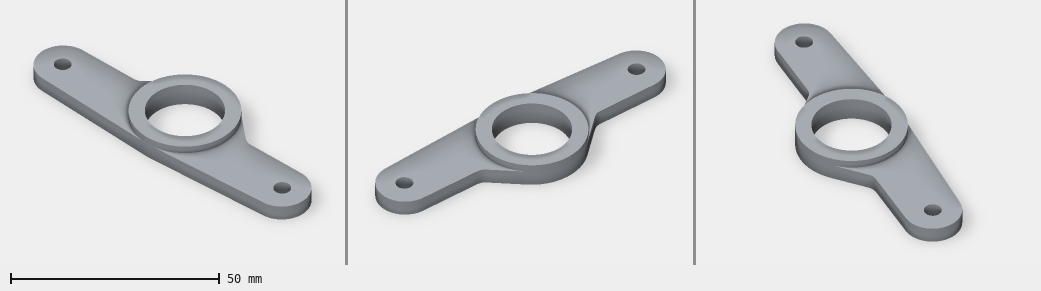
import cadquery as cq
import math

length = 83.9
total_height = 6.0
plate_thickness = 4.0

ring_radius = 13.5
bore_diameter = 19.2

lug_radius = 7.1
lug_x = length / 2 - lug_radius
lug_y = -4.5
lug_hole_diameter = 4.3
lug_hole_x = 35.0

shoulder_angle = 48.0
shoulder_fillet = 3.35


def on_circle(center_x, center_y, radius, angle):
    """Point on a circle at an angle in radians."""
    return (center_x + radius * math.cos(angle), center_y + radius * math.sin(angle))


def mirrored(point):
    return (-point[0], point[1])


def make_plate():
    center_distance = math.hypot(lug_x, lug_y)
    tangent_angle = (
        math.atan2(lug_y, lug_x) - math.acos((ring_radius - lug_radius) / center_distance)
    )
    ring_bottom = on_circle(0, 0, ring_radius, tangent_angle)
    lug_bottom = on_circle(lug_x, lug_y, lug_radius, tangent_angle)
    lug_end = (lug_x + lug_radius, lug_y)
    lug_top = (lug_x, lug_y + lug_radius)

    angle = math.radians(shoulder_angle)
    ring_shoulder = on_circle(0, 0, ring_radius, angle)
    corner_x = (ring_radius - lug_top[1] * math.sin(angle)) / math.cos(angle)
    corner = (corner_x, lug_top[1])

    plate = (
        cq.Workplane("XY")
        .moveTo(*ring_bottom)
        .lineTo(*lug_bottom)
        .threePointArc(lug_end, lug_top)
        .lineTo(*corner)
        .lineTo(*ring_shoulder)
        .threePointArc((0, ring_radius), mirrored(ring_shoulder))
        .lineTo(*mirrored(corner))
        .lineTo(*mirrored(lug_top))
        .threePointArc(mirrored(lug_end), mirrored(lug_bottom))
        .lineTo(*mirrored(ring_bottom))
        .threePointArc((0, -ring_radius), ring_bottom)
        .close()
        .extrude(plate_thickness)
    )
    for x in (-corner_x, corner_x):
        corner_edge = cq.selectors.NearestToPointSelector((x, corner[1], plate_thickness / 2))
        plate = plate.edges(corner_edge).fillet(shoulder_fillet)
    return plate


def make_ring():
    return (
        cq.Workplane("XY")
        .workplane(offset=plate_thickness)
        .circle(ring_radius)
        .extrude(total_height - plate_thickness)
    )


def cut_holes(body):
    bore = cq.Workplane("XY").circle(bore_diameter / 2).extrude(total_height)
    lug_holes = (
        cq.Workplane("XY")
        .pushPoints([(-lug_hole_x, lug_y), (lug_hole_x, lug_y)])
        .circle(lug_hole_diameter / 2)
        .extrude(total_height)
    )
    return body.cut(bore).cut(lug_holes)


result = cut_holes(make_plate().union(make_ring()))